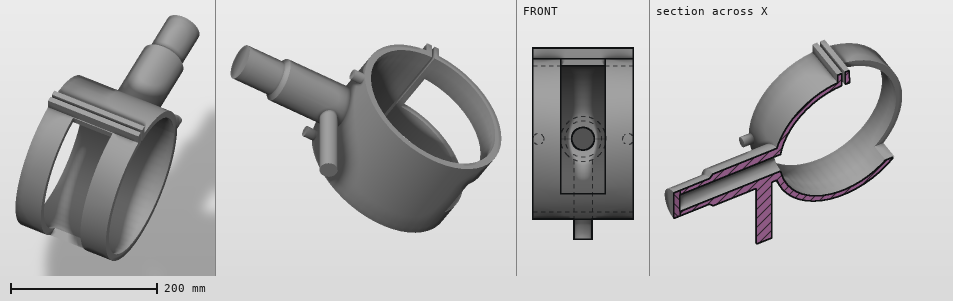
import cadquery as cq

ring_width = 138.0
ring_outer_radius = 110.0
ring_wall = 10.0
ring_inner_radius = ring_outer_radius - ring_wall

split_gap = 4.0
flange_thickness = 7.5
flange_top = 124.3
flange_span = split_gap + 2 * flange_thickness

window_width = 60.5
window_back = -10.5
window_bottom = -75.0

total_length = 377.8
handle_end = total_length - ring_outer_radius
handle_diameter = 62.0
neck_diameter = 50.0
neck_and_cap_length = 56.3
cap_thickness = 10.0
cap_face = handle_end - cap_thickness
neck_start = handle_end - neck_and_cap_length
shoulder_length = 5.5
bore_diameter = 31.0

pin_diameter = 25.0
pin_y = 125.5
pin_bottom = -137.5

lug_diameter = 15.0
lug_end = 125.5
lug_offset = (ring_width - lug_diameter) / 2

lug_start = ring_inner_radius + ring_wall / 2


def rod_along_y(diameter, start, end, x=0):
    """Round rod on the line z = 0, from y = start to y = end."""
    circle = cq.Workplane("XZ", origin=(x, start, 0)).circle(diameter / 2)
    return circle.extrude(start - end)


def rod_along_x(radius):
    """Round rod on the ring axis, as wide as the ring."""
    return cq.Workplane("YZ").circle(radius).extrude(ring_width / 2, both=True)


def make_handle():
    """Solid handle with a conical shoulder down to its neck."""
    handle_radius = handle_diameter / 2
    neck_radius = neck_diameter / 2
    return (
        cq.Workplane("XY")
        .lineTo(handle_radius, 0)
        .lineTo(handle_radius, neck_start - shoulder_length)
        .lineTo(neck_radius, neck_start)
        .lineTo(neck_radius, cap_face)
        .lineTo(0, cap_face)
        .close()
        .revolve(360, (0, 0, 0), (0, 1, 0))
    )


def make_pin():
    """Pin from the handle axis down to its free end."""
    return cq.Workplane("XY", origin=(0, pin_y, 0)).circle(pin_diameter / 2).extrude(pin_bottom)


def make_window():
    """Cutter that opens the front wall between the two side bands."""
    return cq.Workplane("XY").box(
        window_width,
        ring_outer_radius + window_back,
        ring_outer_radius - window_bottom,
        centered=(True, False, False),
    ).translate((0, -ring_outer_radius, window_bottom))


def make_clamp():
    """Split ring with flanges, lugs, hollow handle and pin, all one solid."""
    flanges = cq.Workplane("XY").box(
        ring_width, flange_span, flange_top, centered=(True, True, False)
    )
    body = rod_along_x(ring_outer_radius).union(flanges)
    body = body.union(make_handle()).union(make_pin())
    for side in (-1, 1):
        body = body.union(rod_along_y(lug_diameter, lug_start, lug_end, side * lug_offset))

    split = cq.Workplane("XY").box(
        ring_width, split_gap, flange_top, centered=(True, True, False)
    )
    bore = rod_along_y(bore_diameter, 0, cap_face)
    return body.cut(rod_along_x(ring_inner_radius)).cut(split).cut(make_window()).cut(bore)


def make_end_cap():
    """Disc that closes the end of the handle."""
    return rod_along_y(neck_diameter, cap_face, handle_end)


clamp = make_clamp()
end_cap = make_end_cap()

result = cq.Compound.makeCompound([clamp.val(), end_cap.val()])